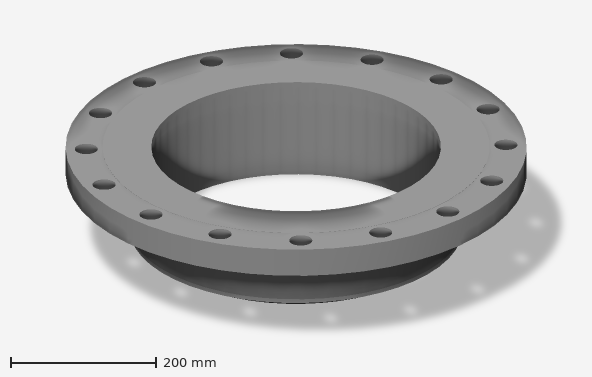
import cadquery as cq

height = 141.5
flange_radius = 317.5
bore_radius = 199.5

flange_thickness = 40.5
face_radius = 267.0
face_height = 0.3

hub_top_radius = 249.5
hub_end_radius = 229.0
blend_width = 9.5
blend_height = 9.5
blend_bulge = 1.0

land_height = 6.0
lip_height = 15.0
lip_top_radius = 220.5
lip_end_radius = 201.0

bolt_count = 16
bolt_circle_radius = 289.0
bolt_hole_radius = 16.0

flange_top = height - face_height
flange_bottom = height - flange_thickness
blend_bottom = flange_bottom - blend_height
ledge_level = lip_height
land_top = ledge_level + land_height


def make_body():
    """Revolve the flange, hub and bored-out neck as one half-section."""
    blend_middle = (
        hub_top_radius + blend_width / 2 - blend_bulge,
        flange_bottom - blend_height / 2 + blend_bulge,
    )
    section = (
        cq.Workplane("XZ")
        .moveTo(bore_radius, height)
        .lineTo(face_radius, height)
        .lineTo(face_radius, flange_top)
        .lineTo(flange_radius, flange_top)
        .lineTo(flange_radius, flange_bottom)
        .lineTo(hub_top_radius + blend_width, flange_bottom)
        .threePointArc(blend_middle, (hub_top_radius, blend_bottom))
        .lineTo(hub_end_radius, land_top)
        .lineTo(hub_end_radius, ledge_level)
        .lineTo(lip_top_radius, ledge_level)
        .lineTo(lip_end_radius, 0)
        .lineTo(bore_radius, 0)
        .close()
    )
    return section.revolve(360, (0, 0, 0), (0, 1, 0))


def make_bolt_holes():
    """Pins on the bolt circle that pass through the flange only."""
    return (
        cq.Workplane("XY", origin=(0, 0, flange_bottom))
        .polarArray(bolt_circle_radius, 0, 360, bolt_count)
        .circle(bolt_hole_radius)
        .extrude(flange_thickness)
    )


result = make_body().cut(make_bolt_holes())